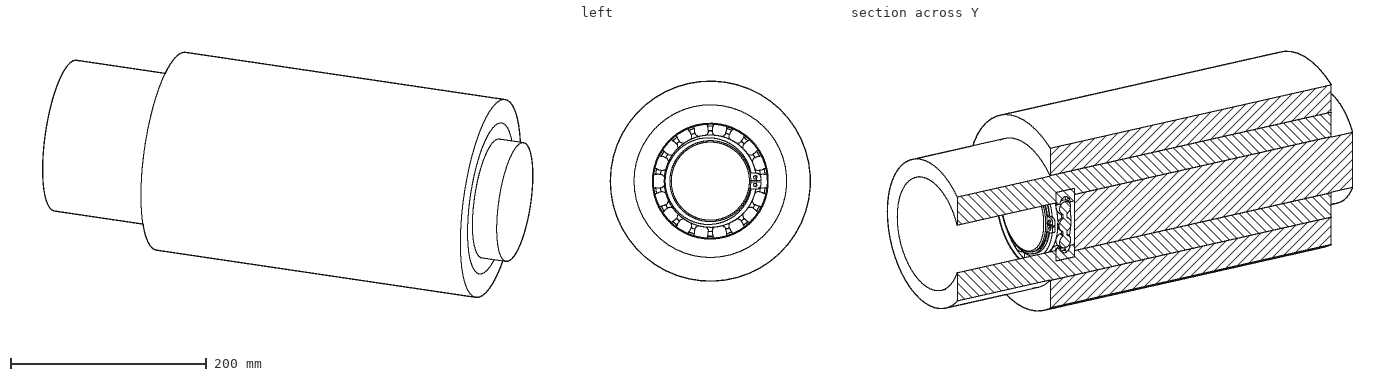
import cadquery as cq

total_length = 482.0
roller_start = 113.5
roller_end = 456.0

roller_diameter = 205.0
roller_radius = roller_diameter / 2
sleeve_radius = 78.0
entry_bore_radius = 59.5
shaft_diameter = 123.0
shaft_radius = shaft_diameter / 2

seat_radius = 41.5
nose_length = 6.5
nose_chamfer = 1.5
groove_radius = 39.5

clip_width = 3.0
clip_outer_radius = 44.5
clip_offset = 2.0
clip_gap = 1.5
lug_outer_reach = 51.5
lug_half_width = 8.0
lug_corner_radius = 4.5
lug_hole_radius = 1.7
lug_hole_reach = 46.0
lug_hole_offset = 4.0

bearing_start = 120.5
bearing_width = 22.0
bearing_end = bearing_start + bearing_width
bearing_middle = bearing_start + bearing_width / 2
bearing_outer_radius = 65.0
outer_shoulder_radius = 58.5
inner_shoulder_radius = 47.3
pitch_radius = 53.5
ball_radius = 7.5
ball_count = 18
race_clearance = 0.25
race_radius = ball_radius + race_clearance

clip_start = bearing_start - clip_width

cage_inner_radius = 51.5
cage_outer_radius = 56.5
cage_width = 6.0


def cylinder(start, end, radius):
    """Solid cylinder on the X axis between two X positions."""
    return cq.Workplane("YZ", origin=(start, 0, 0)).circle(radius).extrude(end - start)


def tube(start, end, outer_radius, inner_radius):
    """Hollow cylinder on the X axis between two X positions."""
    return cylinder(start, end, outer_radius).cut(cylinder(start, end, inner_radius))


def make_roller():
    """Thick cover that fits around the sleeve."""
    return tube(roller_start, roller_end, roller_radius, sleeve_radius)


def make_sleeve():
    """Tube with an open entry bore, a pocket for the bearing and a bore for the shaft."""
    sleeve = cylinder(0, roller_end, sleeve_radius)
    sleeve = sleeve.cut(cylinder(0, bearing_start, entry_bore_radius))
    sleeve = sleeve.cut(cylinder(bearing_start, bearing_end, bearing_outer_radius))
    return sleeve.cut(cylinder(bearing_end, roller_end, shaft_radius))


def make_shaft():
    """Stepped shaft with a chamfered bearing seat and a groove for the retaining ring."""
    seat = cylinder(bearing_start - nose_length, bearing_end, seat_radius)
    seat = seat.faces("<X").chamfer(nose_chamfer)
    seat = seat.cut(tube(clip_start, bearing_start, seat_radius, groove_radius))
    return seat.union(cylinder(bearing_end, total_length, shaft_radius))


def make_retaining_ring():
    """Eccentric ring in the shaft groove, open at two lugs with a plier hole in each."""
    plane = cq.Workplane("YZ", origin=(clip_start, 0, 0))
    ring = plane.center(clip_offset, 0).circle(clip_outer_radius).extrude(clip_width)
    lugs = (
        plane.center(-lug_outer_reach / 2, 0)
        .rect(lug_outer_reach, 2 * lug_half_width)
        .extrude(clip_width)
        .edges("|X and <Y")
        .fillet(lug_corner_radius)
    )
    holes = (
        plane.pushPoints([(-lug_hole_reach, side * lug_hole_offset) for side in (-1, 1)])
        .circle(lug_hole_radius)
        .extrude(clip_width)
    )
    gap = plane.center(-lug_outer_reach / 2, 0).rect(lug_outer_reach, clip_gap).extrude(clip_width)
    groove = cylinder(clip_start, bearing_start, groove_radius)
    return ring.union(lugs).cut(holes).cut(gap).cut(groove)


def make_race():
    """Ring-shaped volume in which the balls run, removed from both bearing rings."""
    return cq.Workplane(cq.Solid.makeTorus(
        pitch_radius, race_radius, cq.Vector(bearing_middle, 0, 0), cq.Vector(1, 0, 0)
    ))


def make_bearing_ring(outer_radius, inner_radius):
    """Bearing ring with a rounded ball groove."""
    ring = tube(bearing_start, bearing_end, outer_radius, inner_radius)
    return ring.cut(make_race())


def make_ball_cage():
    """Balls spaced evenly around the pitch circle and joined by the cage ring."""
    cage_start = bearing_middle - cage_width / 2
    cage = tube(cage_start, cage_start + cage_width, cage_outer_radius, cage_inner_radius)
    for index in range(ball_count):
        ball = cq.Workplane("XY").sphere(ball_radius).translate((bearing_middle, pitch_radius, 0))
        cage = cage.union(ball.rotate((0, 0, 0), (1, 0, 0), index * 360 / ball_count))
    return cage


roller = make_roller()
sleeve = make_sleeve()
shaft = make_shaft()
outer_ring = make_bearing_ring(bearing_outer_radius, outer_shoulder_radius)
inner_ring = make_bearing_ring(inner_shoulder_radius, seat_radius)
ball_cage = make_ball_cage()
retaining_ring = make_retaining_ring()

result = cq.Compound.makeCompound([
    roller.val(),
    sleeve.val(),
    shaft.val(),
    outer_ring.val(),
    inner_ring.val(),
    ball_cage.val(),
    retaining_ring.val(),
])